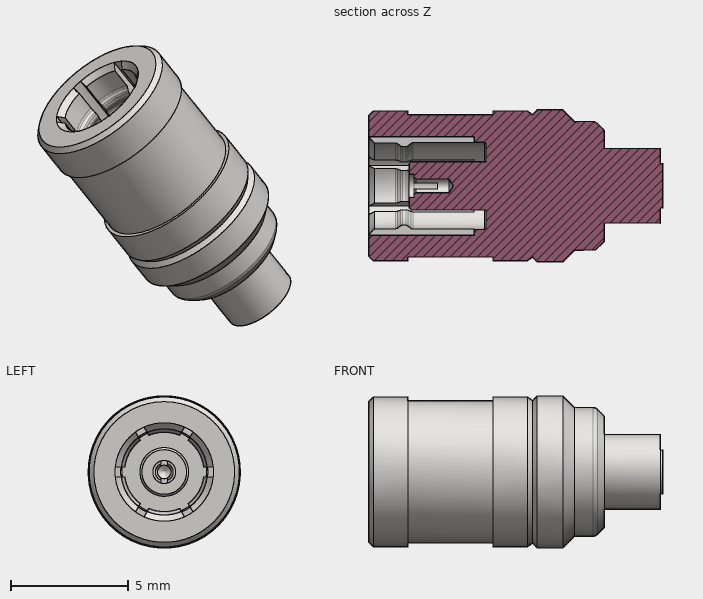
import cadquery as cq
import math


front_collar_end = 1.67
rear_collar_start = 5.3
groove_start = 6.77
groove_bottom = 7.0
nut_start = 7.19
nut_taper_start = 8.28
shoulder_start = 8.78
body_end = 10.06
tail_end = 12.44
overall_length = 12.55

collar_radius = 3.2
collar_chamfer = 0.2
body_radius = 3.04
nut_radius = 3.25
shoulder_radius = 2.75
shoulder_chamfer = 0.38
shoulder_blend_radius = 0.25
tail_radius = 1.6
end_boss_radius = 0.945

mouth_radius = 2.1
finger_radius = 1.84
mouth_chamfer_depth = 0.25
ridge_radius = 1.69
ridge_start = 1.2
ridge_top_start = 1.4
ridge_top_end = 1.64
ridge_end = 1.85
ridge_blend_radius = 0.15
socket_radius = 1.86
socket_floor_radius = 1.8
socket_depth = 5.0
slot_depth = 4.5
slot_width = 0.42
slot_count = 6

insulator_front = 1.73
insulator_radius = 1.04
insulator_chamfer = 0.09

contact_radius = 0.49
contact_recess = 0.2
contact_countersink_radius = 0.38
contact_bore_radius = 0.29
contact_bore_depth = 1.5
contact_slot_width = 0.26
contact_slot_depth = 1.0
drill_point_angle = 118

selection_margin = 0.01


def revolve_about_x(points):
    """Turn a closed outline of (station, radius) points about the X axis."""
    return cq.Workplane("XZ").polyline(points).close().revolve(360, (0, 0, 0), (1, 0, 0))


def disc(radius, start, end):
    """A cylinder along X between two stations."""
    return cq.Workplane("YZ", origin=(start, 0, 0)).circle(radius).extrude(end - start)


def rings_between(start, end, reach):
    """Selector for the edges lying between two stations and within a given reach of the axis."""
    low_corner = (start - selection_margin, -reach - selection_margin, -reach - selection_margin)
    high_corner = (end + selection_margin, reach + selection_margin, reach + selection_margin)
    return cq.selectors.BoxSelector(low_corner, high_corner, boundingbox=True)


def make_outer_body():
    chamfer_start = body_end - shoulder_chamfer
    body = revolve_about_x([
        (0, 0),
        (0, collar_radius - collar_chamfer),
        (collar_chamfer, collar_radius),
        (front_collar_end, collar_radius),
        (front_collar_end, body_radius),
        (rear_collar_start, body_radius),
        (rear_collar_start, collar_radius),
        (groove_start, collar_radius),
        (groove_bottom, body_radius),
        (nut_start, nut_radius),
        (nut_taper_start, nut_radius),
        (shoulder_start, shoulder_radius),
        (chamfer_start, shoulder_radius),
        (body_end, shoulder_radius - shoulder_chamfer),
        (body_end, 0),
    ])
    shoulder_edge = rings_between(chamfer_start, chamfer_start, nut_radius)
    body = body.edges("%CIRCLE").edges(shoulder_edge).fillet(shoulder_blend_radius)
    tail = disc(tail_radius, body_end, tail_end)
    end_boss = disc(end_boss_radius, tail_end, overall_length)
    return body.union(tail).union(end_boss)


def make_socket():
    floor_chamfer = socket_radius - socket_floor_radius
    socket = revolve_about_x([
        (0, 0),
        (0, mouth_radius),
        (mouth_chamfer_depth, finger_radius),
        (ridge_start, finger_radius),
        (ridge_top_start, ridge_radius),
        (ridge_top_end, ridge_radius),
        (ridge_end, socket_radius),
        (socket_depth - floor_chamfer, socket_radius),
        (socket_depth, socket_floor_radius),
        (socket_depth, 0),
    ])
    ridge_edges = rings_between(ridge_start, ridge_end, mouth_radius)
    return socket.edges("%CIRCLE").edges(ridge_edges).fillet(ridge_blend_radius)


def make_finger_slots():
    """Slots between the spring fingers, reaching out to the mouth radius."""
    slots = cq.Workplane("YZ")
    for index in range(slot_count // 2):
        bar = cq.Workplane("YZ").rect(2 * mouth_radius, slot_width).extrude(slot_depth)
        slots = slots.union(bar.rotate((0, 0, 0), (1, 0, 0), index * 360 / slot_count))
    return slots.intersect(disc(mouth_radius, 0, slot_depth))


def make_insulator():
    insulator = disc(insulator_radius, insulator_front, socket_depth)
    return insulator.faces("<X").chamfer(insulator_chamfer)


def make_contact_cavity():
    """Recess in front of the contact, its countersunk bore with a drill point, and its slot."""
    tip = insulator_front + contact_recess
    countersink_depth = contact_countersink_radius - contact_bore_radius
    bore_end = tip + contact_bore_depth
    point_depth = contact_bore_radius / math.tan(math.radians(drill_point_angle / 2))
    cavity = revolve_about_x([
        (insulator_front, 0),
        (insulator_front, contact_radius),
        (tip, contact_radius),
        (tip, contact_countersink_radius),
        (tip + countersink_depth, contact_bore_radius),
        (bore_end, contact_bore_radius),
        (bore_end + point_depth, 0),
    ])
    slot = (
        cq.Workplane("YZ", origin=(tip, 0, 0))
        .rect(contact_slot_width, 2 * contact_radius)
        .extrude(contact_slot_depth)
        .intersect(disc(contact_radius, tip, tip + contact_slot_depth))
    )
    return cavity.union(slot)


shell = make_outer_body().cut(make_socket()).cut(make_finger_slots())
result = shell.union(make_insulator()).cut(make_contact_cavity())